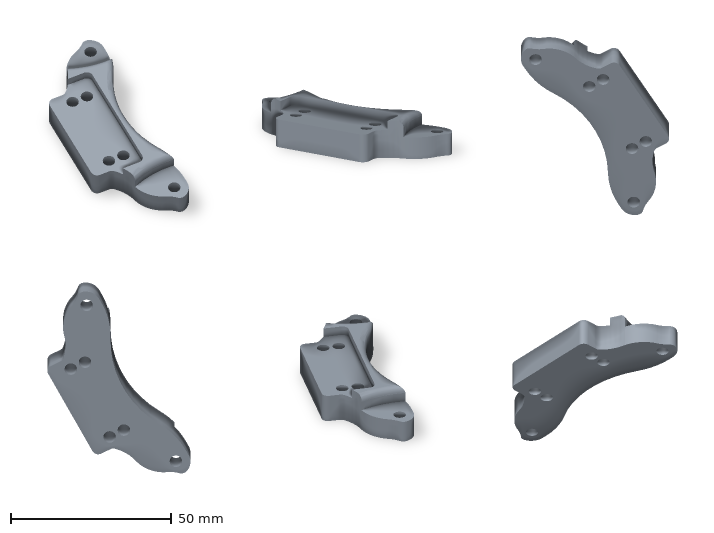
import cadquery as cq
import math

length = 69.45
depth = 26.0
height = 12.0
ear_height = 7.0
pocket_floor = 9.0
edge_radius = 2.0

hole_diameter = 3.9
ear_hole_x = 30.0
ear_hole_y = 21.45
ear_tip_start = (-34.5, 22.9)
ear_tip_middle = (-33.3, 24.7)
ear_side_middle = (-length / 2, 21.95)
ear_tip_end = (-34.3, 20.8)
neck_middle = (-33.35, 19.65)
neck_end = (-32.15, 17.65)
belly_middle = (-30.0, 14.0)
belly_end = (-24.5, 10.55)
waist_middle = (-19.8, 8.6)

block_half_width = 16.9
waist_end_y = 6.05

saddle_radius = 34.05
saddle_half_width = 16.75
saddle_angle = math.asin(saddle_half_width / saddle_radius)
saddle_bottom_y = 18.55
saddle_end_y = saddle_bottom_y + saddle_radius * (1 - math.cos(saddle_angle))
shoulder_radius = (depth - saddle_end_y) / (1 - math.cos(saddle_angle))
shoulder_start_x = saddle_half_width + shoulder_radius * math.sin(saddle_angle)

wall_middle = (-22.4, 18.0)
wall_rear = (-22.1, 25.4)

pocket_half_width = 19.8
pocket_back_y = 16.25
screw_x = 13.05
screw_rows_y = (7.0, 12.0)

clearance = 3.5


def mirrored(point):
    """Reflect an XY point about X = 0."""
    return (-point[0], point[1])


def make_outline():
    """Full-height plate with the complete plan outline."""
    shoulder_middle = (
        -shoulder_start_x + shoulder_radius * math.sin(saddle_angle / 2),
        depth - shoulder_radius * (1 - math.cos(saddle_angle / 2)),
    )
    saddle_end = (-saddle_half_width, saddle_end_y)
    tip_top = (-ear_hole_x, depth)
    waist_end = (-block_half_width, waist_end_y)
    plate = (
        cq.Workplane("XY")
        .moveTo(-block_half_width, 0)
        .lineTo(*waist_end)
        .threePointArc(waist_middle, belly_end)
        .threePointArc(belly_middle, neck_end)
        .threePointArc(neck_middle, ear_tip_end)
        .threePointArc(ear_side_middle, ear_tip_start)
        .threePointArc(ear_tip_middle, tip_top)
        .lineTo(-shoulder_start_x, depth)
        .threePointArc(shoulder_middle, saddle_end)
        .threePointArc((0, saddle_bottom_y), mirrored(saddle_end))
        .threePointArc(mirrored(shoulder_middle), (shoulder_start_x, depth))
        .lineTo(*mirrored(tip_top))
        .threePointArc(mirrored(ear_tip_middle), mirrored(ear_tip_start))
        .threePointArc(mirrored(ear_side_middle), mirrored(ear_tip_end))
        .threePointArc(mirrored(neck_middle), mirrored(neck_end))
        .threePointArc(mirrored(belly_middle), mirrored(belly_end))
        .threePointArc(mirrored(waist_middle), mirrored(waist_end))
        .lineTo(block_half_width, 0)
        .close()
        .extrude(height)
    )
    corner_points = [(side * block_half_width, y) for side in (-1, 1) for y in (0, waist_end_y)]
    for x, y in corner_points:
        corner = cq.selectors.NearestToPointSelector((x, y, height / 2))
        plate = plate.edges("|Z").edges(corner).fillet(edge_radius)
    return plate


def make_ear_cutter():
    """Volume above the left ear, bounded by the curved wall."""
    outer_x = -length / 2 - clearance
    return (
        cq.Workplane("XY", origin=(0, 0, ear_height))
        .moveTo(outer_x, 0)
        .lineTo(belly_end[0], 0)
        .lineTo(*belly_end)
        .threePointArc(wall_middle, wall_rear)
        .lineTo(wall_rear[0], depth + clearance)
        .lineTo(outer_x, depth + clearance)
        .close()
        .extrude(height)
    )


def round_top(body):
    """Round the upper rim along both curved walls and the saddle."""
    shoulder_x = (saddle_half_width - wall_rear[0]) / 2
    shoulder_y = (saddle_end_y + wall_rear[1]) / 2
    rim_points = [(0, saddle_bottom_y, height)]
    for side in (-1, 1):
        rim_points.append((side * wall_middle[0], wall_middle[1], height))
        rim_points.append((side * shoulder_x, shoulder_y, height))
    rim = body.faces(">Z").edges()
    picked = []
    for point in rim_points:
        picked += rim.edges(cq.selectors.NearestToPointSelector(point)).vals()
    return body.newObject(picked).fillet(edge_radius)


def make_pocket():
    """Front-opening pocket with rounded rear corners."""
    return (
        cq.Workplane("XY", origin=(0, 0, pocket_floor))
        .rect(2 * pocket_half_width, 2 * pocket_back_y)
        .extrude(height)
        .edges("|Z")
        .fillet(edge_radius)
    )


def make_holes():
    """Through holes in the ears and the pocket floor."""
    positions = []
    for side in (-1, 1):
        positions.append((side * ear_hole_x, ear_hole_y))
        positions += [(side * screw_x, y) for y in screw_rows_y]
    return cq.Workplane("XY").pushPoints(positions).circle(hole_diameter / 2).extrude(height)


ear_cutter = make_ear_cutter()
body = make_outline().cut(ear_cutter).cut(ear_cutter.mirror("YZ"))
result = round_top(body).cut(make_pocket()).cut(make_holes())